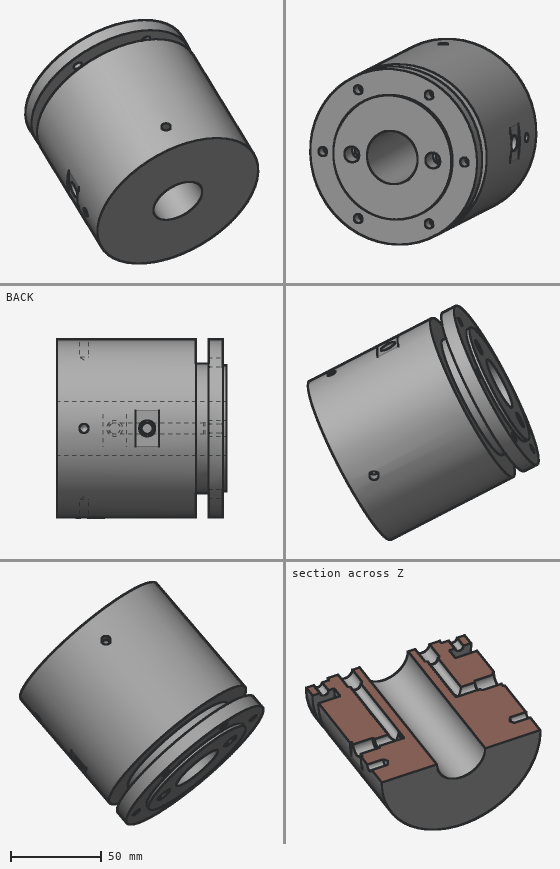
import cadquery as cq
import math

total_length = 94.0
flange_start = 2.0
flange_end = 10.0
body_start = 17.0
body_diameter = 99.0
collar_diameter = 72.0
boss_diameter = 70.0
bore_diameter = 30.0

bolt_count = 6
bolt_hole_diameter = 5.0
bolt_circle_radius = 42.0

port_diameter = 8.8
port_depth = 12.0
passage_diameter = 6.2
passage_offset = 24.0
port_cone_angle = 118.0
front_port_x = 62.0
back_port_x = 44.0

spot_length = 13.0
spot_cutter_height = 22.0
spot_depth = 1.0

screw_hole_count = 4
screw_hole_diameter = 5.0
screw_hole_depth = 10.0
screw_hole_x = 79.0
drill_point_angle = 118.0

body_radius = body_diameter / 2


def cylinder(start, direction, diameter, length):
    return cq.Workplane(cq.Solid.makeCylinder(diameter / 2, length, cq.Vector(*start), cq.Vector(*direction)))


def cone_length(large_diameter, small_diameter, included_angle):
    return (large_diameter - small_diameter) / 2 / math.tan(math.radians(included_angle / 2))


def tapered_drill(start, direction, large_diameter, depth, small_diameter, included_angle):
    """Straight hole of the given depth that ends in a cone narrowing to small_diameter."""
    axis = cq.Vector(*direction)
    cone_start = cq.Vector(*start) + axis * depth
    length = cone_length(large_diameter, small_diameter, included_angle)
    cone = cq.Solid.makeCone(large_diameter / 2, small_diameter / 2, length, cone_start, axis)
    return cylinder(start, direction, large_diameter, depth).union(cq.Workplane(cone))


def make_body():
    sections = [
        (0, flange_start, boss_diameter),
        (flange_start, flange_end, body_diameter),
        (flange_end, body_start, collar_diameter),
        (body_start, total_length, body_diameter),
    ]
    body = cq.Workplane()
    for start, end, diameter in sections:
        body = body.union(cylinder((start, 0, 0), (1, 0, 0), diameter, end - start))
    return body.cut(cylinder((0, 0, 0), (1, 0, 0), bore_diameter, total_length))


def cut_bolt_holes(body):
    for index in range(bolt_count):
        angle = 2 * math.pi * index / bolt_count
        start = (flange_start, bolt_circle_radius * math.cos(angle), bolt_circle_radius * math.sin(angle))
        body = body.cut(cylinder(start, (1, 0, 0), bolt_hole_diameter, flange_end - flange_start))
    return body


def cut_passage(body, side, port_x):
    """Cut the spot face, both ports and their connecting passage; side is the sign of Y."""
    spot_floor = body_radius - spot_depth
    spot = cq.Workplane().box(spot_length, 2 * spot_depth, spot_cutter_height)
    body = body.cut(spot.translate((port_x, side * body_radius, 0)))

    axial_start = (0, side * passage_offset, 0)
    axial_direction = (1, 0, 0)
    axial_length = port_x + passage_diameter / 2
    radial_start = (port_x, side * spot_floor, 0)
    radial_direction = (0, -side, 0)
    radial_length = spot_floor - passage_offset + passage_diameter / 2

    runs = [
        (axial_start, axial_direction, axial_length),
        (radial_start, radial_direction, radial_length),
    ]
    for start, direction, length in runs:
        port = tapered_drill(start, direction, port_diameter, port_depth, passage_diameter, port_cone_angle)
        body = body.cut(port)
        body = body.cut(cylinder(start, direction, passage_diameter, length))
    return body


def cut_screw_holes(body):
    for index in range(screw_hole_count):
        angle = 2 * math.pi * index / screw_hole_count
        outward_y = math.cos(angle)
        outward_z = math.sin(angle)
        start = (screw_hole_x, body_radius * outward_y, body_radius * outward_z)
        inward = (0, -outward_y, -outward_z)
        hole = tapered_drill(start, inward, screw_hole_diameter, screw_hole_depth, 0, drill_point_angle)
        body = body.cut(hole)
    return body


result = make_body()
result = cut_bolt_holes(result)
result = cut_passage(result, -1, front_port_x)
result = cut_passage(result, 1, back_port_x)
result = cut_screw_holes(result)